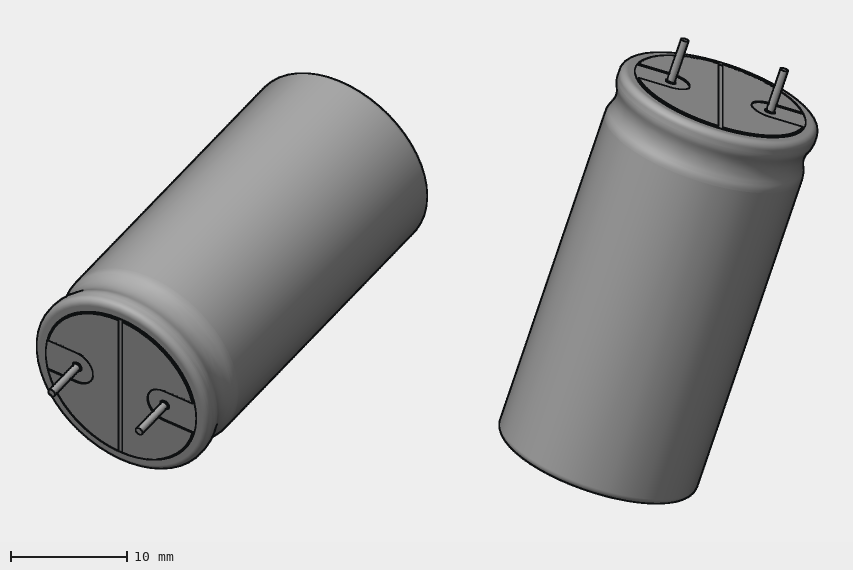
import cadquery as cq
import math


can_diameter = 18.0
can_radius = can_diameter / 2
overall_length = 39.1
pin_length = 4.05
can_length = overall_length - pin_length
edge_fillet = 0.63

groove_center = 2.9
groove_half_width = 1.85
groove_depth = 0.43
groove_valley_half_width = 1.15

base_diameter = 15.5
base_height = 0.05
plug_diameter = 15.25
plug_height = 0.15
slot_width = 0.4

pin_spacing = 9.0
pin_diameter = 0.7
collar_diameter = 0.95
collar_top_diameter = 0.8
collar_height = 0.1
pad_width = 3.4


def mounting_face():
    """Workplane on the can's rim, facing -Y."""
    return cq.Workplane("XZ")


def make_can():
    """Revolved can whose crimp is a valley arc blended by two tangent shoulder arcs."""
    crimp_angle = 2 * math.atan(groove_depth / groove_half_width)
    valley_radius = groove_valley_half_width / math.sin(crimp_angle)
    shoulder_width = groove_half_width - groove_valley_half_width
    shoulder_radius = shoulder_width / math.sin(crimp_angle)
    shoulder_drop = shoulder_radius * (1 - math.cos(crimp_angle))
    shoulder_mid_drop = shoulder_radius * (1 - math.cos(crimp_angle / 2))
    shoulder_mid_offset = groove_half_width - shoulder_radius * math.sin(crimp_angle / 2)

    valley_edge = can_radius - shoulder_drop
    shoulder_mid = can_radius - shoulder_mid_drop
    profile = (
        cq.Workplane("XY")
        .lineTo(can_radius, 0)
        .lineTo(can_radius, groove_center - groove_half_width)
        .threePointArc(
            (shoulder_mid, groove_center - shoulder_mid_offset),
            (valley_edge, groove_center - groove_valley_half_width),
        )
        .threePointArc(
            (can_radius - groove_depth, groove_center),
            (valley_edge, groove_center + groove_valley_half_width),
        )
        .threePointArc(
            (shoulder_mid, groove_center + shoulder_mid_offset),
            (can_radius, groove_center + groove_half_width),
        )
        .lineTo(can_radius, can_length)
        .lineTo(0, can_length)
        .close()
    )
    can = profile.revolve(360, (0, 0, 0), (0, 1, 0))
    return can.faces("<Y or >Y").edges().fillet(edge_fillet)


def make_plug():
    """Raised disc split by a slot, with a round-ended recess around each pin, on a thin base disc."""
    plug = mounting_face().circle(plug_diameter / 2).extrude(plug_height)
    slot = mounting_face().rect(slot_width, can_diameter).extrude(plug_height)
    plug = plug.cut(slot)
    pad_length = can_radius - pin_spacing / 2
    for side in (-1, 1):
        pad_round = (
            mounting_face()
            .center(side * pin_spacing / 2, 0)
            .circle(pad_width / 2)
            .extrude(plug_height)
        )
        pad_run = (
            mounting_face()
            .center(side * (pin_spacing + pad_length) / 2, 0)
            .rect(pad_length, pad_width)
            .extrude(plug_height)
        )
        plug = plug.cut(pad_round).cut(pad_run)
    base = mounting_face().circle(base_diameter / 2).extrude(base_height)
    return plug.union(base)


def make_pin(x):
    """Round lead with a low chamfered collar at its foot."""
    lead = mounting_face().center(x, 0).circle(pin_diameter / 2).extrude(pin_length)
    collar = mounting_face().center(x, 0).circle(collar_diameter / 2).extrude(collar_height)
    collar = collar.faces("<Y").chamfer((collar_diameter - collar_top_diameter) / 2)
    return lead.union(collar)


result = make_can().union(make_plug())
for side in (-1, 1):
    result = result.union(make_pin(side * pin_spacing / 2))